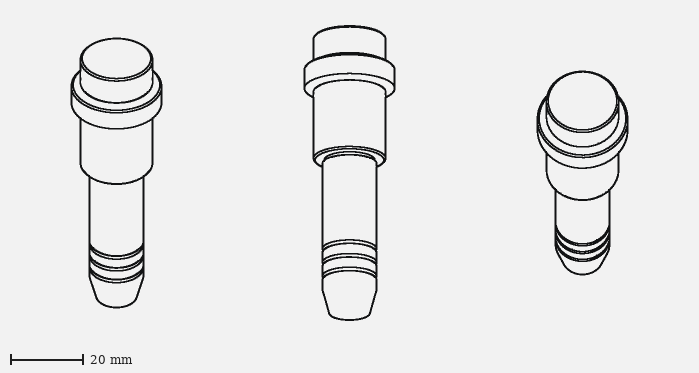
import cadquery as cq
import math

total_length = 81.0

body_diameter = 20.0
flange_diameter = 25.0
pin_diameter = 15.0
undercut_diameter = 14.0

head_height = 9.0
flange_height = 6.0
body_height = 21.0
undercut_height = 1.0
tip_height = 7.0

tip_half_angle = 15.0
tip_rounding = 0.5
edge_chamfer = 0.5

groove_width = 1.0
groove_radius = groove_width / 2
pin_groove_count = 3
pin_groove_pitch = 4.0
last_groove_to_tip = 3.5

flange_top = total_length - head_height
flange_bottom = flange_top - flange_height
body_bottom = flange_bottom - body_height


def cylinder(diameter, bottom, height):
    return cq.Workplane("XY").workplane(offset=bottom).circle(diameter / 2).extrude(height)


def make_head():
    return cylinder(body_diameter, flange_top, head_height).faces(">Z").chamfer(edge_chamfer)


def make_flange():
    return cylinder(flange_diameter, flange_bottom, flange_height).faces(">Z").chamfer(edge_chamfer)


def make_body():
    return cylinder(body_diameter, body_bottom, body_height).faces("<Z").chamfer(edge_chamfer)


def make_pin():
    undercut_bottom = body_bottom - undercut_height
    undercut = cylinder(undercut_diameter, undercut_bottom, undercut_height)
    shank = cylinder(pin_diameter, tip_height, undercut_bottom - tip_height)
    return undercut.union(shank)


def make_tip():
    """Tapered lead-in, narrowing downwards, with a rounded end edge."""
    large_radius = pin_diameter / 2
    small_radius = large_radius - tip_height * math.tan(math.radians(tip_half_angle))
    cone = (
        cq.Workplane("XZ")
        .polyline([(0, 0), (small_radius, 0), (large_radius, tip_height), (0, tip_height)])
        .close()
        .revolve(360, (0, 0), (0, 1))
    )
    return cone.faces("<Z").edges().fillet(tip_rounding)


def ring_cutter(diameter, level):
    """Ring of round section, centred on the surface of a cylinder."""
    return (
        cq.Workplane("XZ")
        .center(diameter / 2, level)
        .circle(groove_radius)
        .revolve(360, (-diameter / 2, 0), (-diameter / 2, 1))
    )


def cut_grooves(part):
    relief_above = ring_cutter(body_diameter, flange_top + groove_radius)
    relief_below = ring_cutter(body_diameter, flange_bottom - groove_radius)
    part = part.cut(relief_above).cut(relief_below)

    lowest_groove = tip_height + last_groove_to_tip
    for index in range(pin_groove_count):
        part = part.cut(ring_cutter(pin_diameter, lowest_groove + index * pin_groove_pitch))
    return part


solid_parts = make_head().union(make_flange()).union(make_body()).union(make_pin()).union(make_tip())
result = cut_grooves(solid_parts)